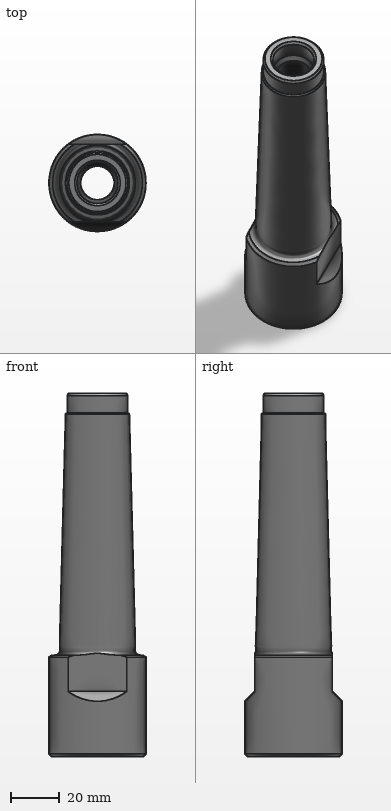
import cadquery as cq

length = 150.0
body_top_z = 42.0
neck_bottom_z = 44.0
neck_top_z = 44.8
taper_bottom_z = 45.8
taper_top_z = 141.3
spigot_bottom_z = 141.9

body_radius = 40.0 / 2
taper_large_radius = 31.4 / 2
neck_radius = 31.0 / 2
taper_small_radius = 26.4 / 2
spigot_radius = 25.0 / 2

base_chamfer = 1.2
shoulder_chamfer = 0.9
shoulder_chamfer_width = 1.5
spigot_chamfer = 0.8
spigot_chamfer_height = 1.0
neck_fillet = neck_bottom_z - body_top_z

bore_radius = 13.8 / 2
counterbore_radius = 17.0 / 2
mouth_chamfer = 0.9
counterbore_depth = 7.8
seat_height = counterbore_radius - bore_radius

across_flats = 32.0
flat_bottom_z = 27.0


def turned_body():
    """Revolve the base, the concave-filleted neck, the taper and the spigot."""
    profile = (
        cq.Workplane("XZ")
        .moveTo(0, 0)
        .lineTo(body_radius - base_chamfer, 0)
        .lineTo(body_radius, base_chamfer)
        .lineTo(body_radius, body_top_z - shoulder_chamfer)
        .lineTo(body_radius - shoulder_chamfer_width, body_top_z)
        .lineTo(neck_radius + neck_fillet, body_top_z)
        .radiusArc((neck_radius, neck_bottom_z), neck_fillet)
        .lineTo(neck_radius, neck_top_z)
        .lineTo(taper_large_radius, taper_bottom_z)
        .lineTo(taper_small_radius, taper_top_z)
        .lineTo(spigot_radius, spigot_bottom_z)
        .lineTo(spigot_radius, length - spigot_chamfer_height)
        .lineTo(spigot_radius - spigot_chamfer, length)
        .lineTo(0, length)
        .close()
    )
    return profile.revolve(360, (0, 0, 0), (0, 1, 0))


def stepped_bore():
    """Through bore with a conical seat, a counterbore and a chamfered mouth."""
    seat_top_z = length - counterbore_depth
    profile = (
        cq.Workplane("XZ")
        .moveTo(0, 0)
        .lineTo(bore_radius, 0)
        .lineTo(bore_radius, seat_top_z - seat_height)
        .lineTo(counterbore_radius, seat_top_z)
        .lineTo(counterbore_radius, length - mouth_chamfer)
        .lineTo(counterbore_radius + mouth_chamfer, length)
        .lineTo(0, length)
        .close()
    )
    return profile.revolve(360, (0, 0, 0), (0, 1, 0))


def flat_cutter(side):
    """Prism that mills one flat; side is +1 for the +Y flat, -1 for the -Y flat."""
    flat_y = across_flats / 2
    outer_y = body_radius + 1.5
    runout = outer_y - flat_y
    outline = [
        (side * flat_y, neck_bottom_z),
        (side * flat_y, flat_bottom_z),
        (side * outer_y, flat_bottom_z - runout),
        (side * outer_y, neck_bottom_z),
    ]
    return cq.Workplane("YZ").polyline(outline).close().extrude(body_radius, both=True)


result = turned_body().cut(stepped_bore())
for side in (1, -1):
    result = result.cut(flat_cutter(side))